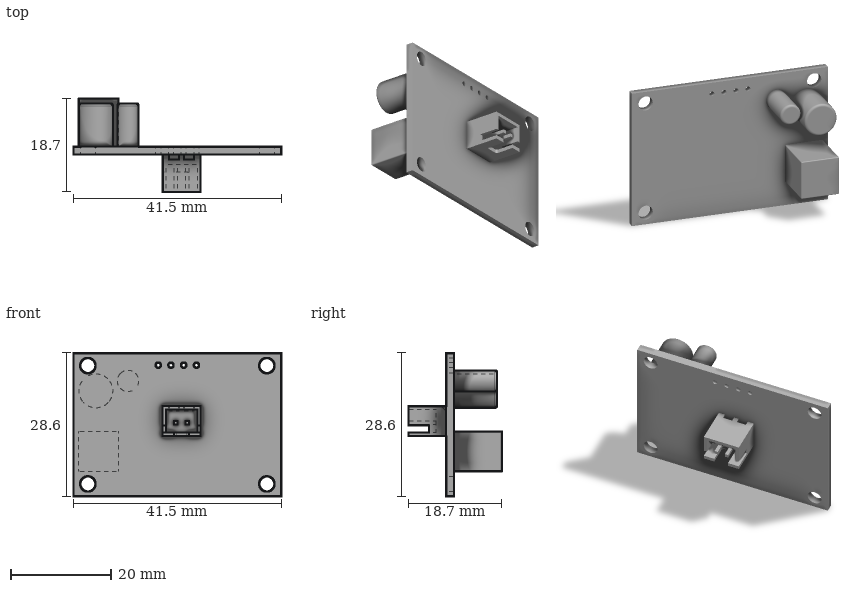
import cadquery as cq


board_width = 41.5
board_height = 28.6
board_thickness = 1.6
mount_hole_diameter = 3.0
mount_spacing_x = 35.7
mount_spacing_z = 23.6
pin_hole_diameter = 1.0
pin_hole_pitch = 2.54
pin_hole_count = 4
pin_hole_z = 11.9

connector_width = 7.62
connector_height = 6.0
connector_depth = 7.5
connector_center_x = 0.85
connector_bottom_z = -2.27
connector_wall = 0.68
connector_floor = 0.75
cavity_depth = 5.5
side_slot_height = 1.4
slot_depth = 4.05
floor_slot_width = 3.0
floor_slot_offset_x = -0.05
floor_slot_corner_radius = 0.5
notch_width = 2.0
notch_pitch = 3.0
notch_depth = 1.0
contact_size = 0.7
contact_pitch = 2.25
contact_height = 2.63

left_margin = 1.05
cube_side = 8.0
cube_depth = 9.6
cube_edge_radius = 0.2
cube_center_z = -5.3
can_depth = 8.6
can_edge_radius = 0.5
large_can_radius = 3.38
large_can_x = 4.5
large_can_z = 6.76
small_can_radius = 2.125
small_can_x = 10.9
small_can_z = 8.75

board_left = -board_width / 2
connector_top_z = connector_bottom_z + connector_height


def block(x_range, y_range, z_range):
    """Box spanning the given (low, high) range along each axis."""
    spans = (x_range, y_range, z_range)
    sizes = [high - low for low, high in spans]
    corner = tuple(low for low, high in spans)
    return cq.Workplane("XY").box(*sizes, centered=False).translate(corner)


def rod(x, z, radius, y_start, length):
    """Cylinder of the given length along +Y, starting at y_start."""
    start = cq.Vector(x, y_start, z)
    return cq.Workplane(cq.Solid.makeCylinder(radius, length, start, cq.Vector(0, 1, 0)))


def centered_range(center, size):
    """(low, high) limits of a span of the given size about its center."""
    return (center - size / 2, center + size / 2)


def make_board():
    """Plate with four corner mounting holes and a row of small pin holes near its top edge."""
    board = block(
        centered_range(0, board_width),
        (0, board_thickness),
        centered_range(0, board_height),
    )
    for side_x in (-1, 1):
        for side_z in (-1, 1):
            x = side_x * mount_spacing_x / 2
            z = side_z * mount_spacing_z / 2
            board = board.cut(rod(x, z, mount_hole_diameter / 2, 0, board_thickness))
    for index in range(pin_hole_count):
        x = (index - (pin_hole_count - 1) / 2) * pin_hole_pitch
        board = board.cut(rod(x, pin_hole_z, pin_hole_diameter / 2, 0, board_thickness))
    return board


def make_solder_notch(center_x):
    """Wedge at the rear top edge of the connector, its floor falling at 45 degrees to the board."""
    return (
        cq.Workplane("YZ", origin=(center_x, 0, 0))
        .moveTo(-notch_depth, connector_top_z)
        .lineTo(0, connector_top_z)
        .lineTo(0, connector_top_z - notch_depth)
        .close()
        .extrude(notch_width / 2, both=True)
    )


def make_connector():
    """Shrouded two-contact header that opens towards -Y."""
    mouth_y = -connector_depth
    slot_end_y = mouth_y + slot_depth
    cavity_end_y = mouth_y + cavity_depth
    cavity_bottom_z = connector_bottom_z + connector_floor
    outer_x = centered_range(connector_center_x, connector_width)

    shell = block(outer_x, (mouth_y, 0), (connector_bottom_z, connector_top_z))
    cavity = block(
        centered_range(connector_center_x, connector_width - 2 * connector_wall),
        (mouth_y, cavity_end_y),
        (cavity_bottom_z, connector_top_z - connector_wall),
    )
    side_slots = block(
        outer_x,
        (mouth_y, slot_end_y),
        (cavity_bottom_z, cavity_bottom_z + side_slot_height),
    )
    floor_slot = block(
        centered_range(connector_center_x + floor_slot_offset_x, floor_slot_width),
        (mouth_y, slot_end_y),
        (connector_bottom_z, cavity_bottom_z),
    )
    floor_slot = floor_slot.edges("|Z and >Y").fillet(floor_slot_corner_radius)
    shell = shell.cut(cavity).cut(side_slots).cut(floor_slot)

    for side in (-1, 1):
        shell = shell.cut(make_solder_notch(connector_center_x + side * notch_pitch / 2))
        contact = block(
            centered_range(connector_center_x + side * contact_pitch / 2, contact_size),
            (mouth_y, cavity_end_y),
            centered_range(connector_bottom_z + contact_height, contact_size),
        )
        shell = shell.union(contact)
    return shell


def make_can(x, z, radius):
    """Round component with a rounded rim on its far end."""
    return rod(x, z, radius, board_thickness, can_depth).faces(">Y").edges().fillet(can_edge_radius)


def make_cube():
    """Square component with every edge rounded except those seated on the board."""
    cube = block(
        (board_left + left_margin, board_left + left_margin + cube_side),
        (board_thickness, board_thickness + cube_depth),
        centered_range(cube_center_z, cube_side),
    )
    return cube.edges("|Y or >Y").fillet(cube_edge_radius)


result = (
    make_board()
    .union(make_connector())
    .union(make_cube())
    .union(make_can(board_left + large_can_x, large_can_z, large_can_radius))
    .union(make_can(board_left + small_can_x, small_can_z, small_can_radius))
)